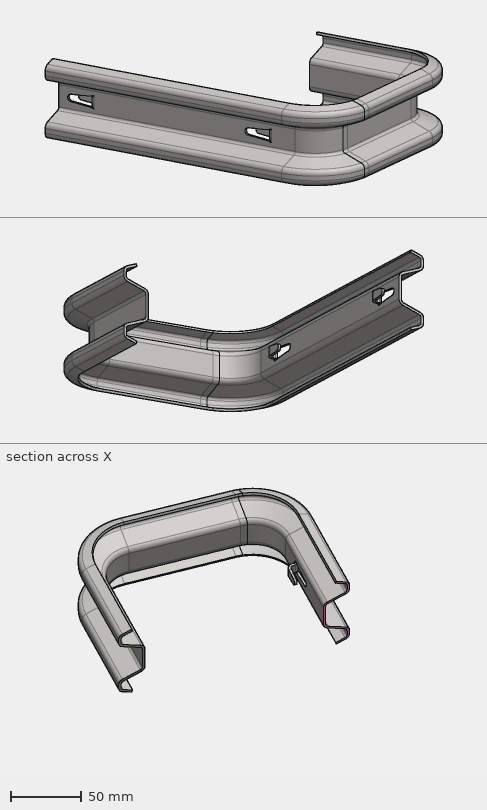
import cadquery as cq
import math

LENGTH = 245.0
DEPTH = 175.0
SHORT_LEG_START = 125.0
CORNER_RADIUS = 45.0
JOINT_Y = 40.0

SHEET = 2.0
INNER_BEND = 2.5
OUTER_BEND = INNER_BEND + SHEET
SECTION_HEIGHT = 60.0
SECTION_DEPTH = 20.0
WEB_HALF_HEIGHT = 10.0
LIP_REACH = 10.0
SLOPE = math.radians(20)

HOOK_PITCH = 150.0
HOOK_COUNT = 2
SLOT_TIP = 7.5
TONGUE_TIP = 12.2
NOSE_RADIUS = 2.7
TAPER = math.radians(5)
HOOK_WALL_X = 27.0
HOOK_RISE = 7.0
ROOT_BEND = 1.0
ROOT_START = 28.7
ROOT_HALF_WIDTH = 5.0
CUT_MARGIN = 2.5

WEB_FRONT = SECTION_DEPTH - SHEET
HOOK_TOP = SECTION_DEPTH + HOOK_RISE
SLOT_END = HOOK_WALL_X + SHEET + ROOT_BEND


def toward(start, end, distance):
    """Point at a distance from start on the way to end."""
    ratio = distance / math.dist(start, end)
    return tuple(a + (b - a) * ratio for a, b in zip(start, end))


def rounded_outline(plane, corners):
    """Closed wire through (u, v, radius) corners, each rounded by its radius.

    A radius of 0 leaves the corner sharp; the first corner must be sharp.
    """
    outline = cq.Workplane(plane).moveTo(*corners[0][:2])
    for index, (u, v, radius) in enumerate(corners):
        corner = (u, v)
        before = corners[index - 1][:2]
        after = corners[(index + 1) % len(corners)][:2]
        if index == 0:
            continue
        if radius == 0:
            outline = outline.lineTo(*corner)
            continue
        to_before = math.atan2(before[1] - v, before[0] - u)
        to_after = math.atan2(after[1] - v, after[0] - u)
        half_angle = math.acos(math.cos(to_before - to_after)) / 2
        setback = radius / math.tan(half_angle)
        arc_start = toward(corner, before, setback)
        arc_end = toward(corner, after, setback)
        chord_middle = tuple((a + b) / 2 for a, b in zip(arc_start, arc_end))
        arc_middle = toward(corner, chord_middle, radius / math.sin(half_angle) - radius)
        outline = outline.lineTo(*arc_start).threePointArc(arc_middle, arc_end)
    return outline.close()


def rail_section():
    """Web, two sloped flanges, two outer walls and two return lips; u is Y and v is Z."""
    bend_shift = SHEET * math.tan((math.pi / 2 - SLOPE) / 2)
    wall_bottom = WEB_HALF_HEIGHT + WEB_FRONT * math.tan(SLOPE)
    lip_z = SECTION_HEIGHT / 2
    wall_top = lip_z - LIP_REACH * math.tan(SLOPE)
    outer_side = [
        (WEB_FRONT, WEB_HALF_HEIGHT, INNER_BEND),
        (0, wall_bottom, OUTER_BEND),
        (0, wall_top, OUTER_BEND),
        (LIP_REACH, lip_z, 0),
    ]
    inner_side = [
        (LIP_REACH + SHEET * math.sin(SLOPE), lip_z - SHEET * math.cos(SLOPE), 0),
        (SHEET, wall_top - bend_shift, INNER_BEND),
        (SHEET, wall_bottom + bend_shift, INNER_BEND),
        (SECTION_DEPTH, WEB_HALF_HEIGHT + bend_shift, OUTER_BEND),
    ]
    upper_half = outer_side + inner_side
    lower_half = [(y, -z, radius) for y, z, radius in reversed(upper_half)]
    corners = upper_half[3:] + lower_half + upper_half[:3]
    return rounded_outline("YZ", corners)


def rail_path():
    """Outer face of the frame: long leg, corner, upright, corner, short leg."""
    corner_x = LENGTH - CORNER_RADIUS
    far_corner_y = DEPTH - CORNER_RADIUS
    diagonal = CORNER_RADIUS * math.sqrt(0.5)
    return (
        cq.Workplane("XY")
        .lineTo(corner_x, 0)
        .threePointArc((corner_x + diagonal, CORNER_RADIUS - diagonal), (LENGTH, CORNER_RADIUS))
        .lineTo(LENGTH, far_corner_y)
        .threePointArc((corner_x + diagonal, far_corner_y + diagonal), (corner_x, DEPTH))
        .lineTo(SHORT_LEG_START, DEPTH)
    )


def tapered_plan(tip_x, end_x, y_start, y_end):
    """Prism along Y with a round nose at tip_x, widening to a straight end at end_x."""
    nose_x = tip_x + NOSE_RADIUS
    tangent_x = nose_x - NOSE_RADIUS * math.sin(TAPER)
    tangent_z = NOSE_RADIUS * math.cos(TAPER)
    end_half_width = NOSE_RADIUS / math.cos(TAPER) + (end_x - nose_x) * math.tan(TAPER)
    return (
        cq.Workplane("XZ", origin=(0, y_start, 0))
        .moveTo(end_x, end_half_width)
        .lineTo(tangent_x, tangent_z)
        .threePointArc((tip_x, 0), (tangent_x, -tangent_z))
        .lineTo(end_x, -end_half_width)
        .close()
        .extrude(y_start - y_end)
    )


def root_block(y_start, y_end):
    """Wide block where a hook's root meets the web."""
    return cq.Workplane("XY").box(
        SLOT_END - ROOT_START, y_end - y_start, 2 * ROOT_HALF_WIDTH, centered=(False, False, True)
    ).translate((ROOT_START, y_start, 0))


def hook_slot():
    """Opening in the web that the first hook was bent out of."""
    y_start = WEB_FRONT - CUT_MARGIN
    y_end = SECTION_DEPTH + CUT_MARGIN
    return tapered_plan(SLOT_TIP, SLOT_END, y_start, y_end).union(root_block(y_start, y_end))


def hook():
    """Tongue bent up from the web and folded back toward the long leg's free end."""
    wall_back = HOOK_WALL_X + SHEET
    foot_end = SLOT_END + CUT_MARGIN
    corners = [
        (TONGUE_TIP, HOOK_TOP, 0),
        (wall_back, HOOK_TOP, OUTER_BEND),
        (wall_back, SECTION_DEPTH, ROOT_BEND),
        (foot_end, SECTION_DEPTH, 0),
        (foot_end, WEB_FRONT, 0),
        (HOOK_WALL_X, WEB_FRONT, ROOT_BEND + SHEET),
        (HOOK_WALL_X, HOOK_TOP - SHEET, INNER_BEND),
        (TONGUE_TIP, HOOK_TOP - SHEET, 0),
    ]
    strip = rounded_outline("XY", corners).extrude(ROOT_HALF_WIDTH, both=True)
    tongue = strip.intersect(tapered_plan(TONGUE_TIP, SLOT_END, WEB_FRONT, HOOK_TOP))
    root = strip.intersect(root_block(WEB_FRONT, SECTION_DEPTH + ROOT_BEND))
    return tongue.union(root)


def slab(y_start, y_end):
    """Block around the part of the frame between two Y planes."""
    return cq.Workplane("XY").box(
        LENGTH + 2 * CUT_MARGIN, y_end - y_start, SECTION_HEIGHT + 2 * CUT_MARGIN,
        centered=(False, False, True),
    ).translate((-CUT_MARGIN, y_start, 0))


def make_frame():
    """Section swept along the whole frame, before it is parted at the joint."""
    return rail_section().sweep(rail_path())


def make_hook_rail(frame):
    """Long leg with its hooks and the first corner up to the joint."""
    rail = frame.intersect(slab(-CUT_MARGIN, JOINT_Y))
    for index in range(HOOK_COUNT):
        shift = (index * HOOK_PITCH, 0, 0)
        rail = rail.cut(hook_slot().translate(shift)).union(hook().translate(shift))
    return rail


def make_plain_rail(frame):
    """Upright, far corner and short leg from the joint on."""
    return frame.intersect(slab(JOINT_Y, DEPTH + CUT_MARGIN))


frame = make_frame()
hook_rail = make_hook_rail(frame)
plain_rail = make_plain_rail(frame)
result = cq.Compound.makeCompound([hook_rail.solids().val(), plain_rail.solids().val()])